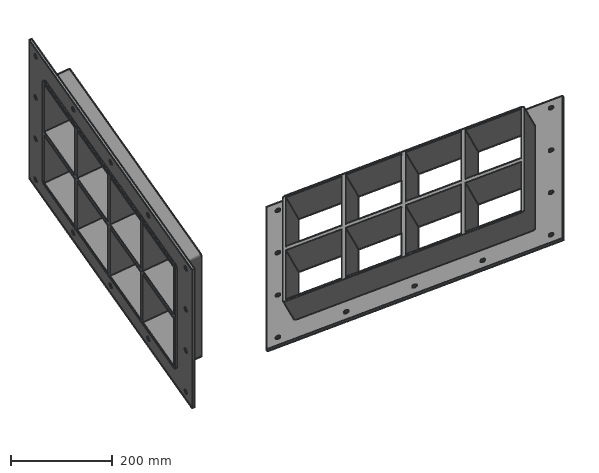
import cadquery as cq

flange_width = 644.0
flange_height = 463.0
flange_thickness = 6.0

lip_depth = 4.0
sleeve_depth = 50.0
corner_radius = 7.0
side_wall = 7.0
end_wall = 6.5

columns = 4
rows = 2
window_width = 121.0
window_height = 159.0
upright_bar = 9.0
cross_bar = 13.0
column_pitch = window_width + upright_bar
row_pitch = window_height + cross_bar

frame_width = columns * column_pitch - upright_bar + 2 * side_wall
frame_height = rows * row_pitch - cross_bar + 2 * end_wall
frame_depth = lip_depth + flange_thickness + sleeve_depth

hole_diameter = 10.0
hole_edge_distance = 25.0
holes_across = 5
holes_up = 4
hole_span_x = flange_width - 2 * hole_edge_distance
hole_span_z = flange_height - 2 * hole_edge_distance


def plane_at(y):
    """XZ workplane at depth y, with its normal pointing toward -Y."""
    return cq.Workplane("XZ", origin=(0, y, 0))


def border_points():
    """Hole centres on the perimeter of an evenly spaced grid."""
    points = []
    for i in range(holes_across):
        for j in range(holes_up):
            if i in (0, holes_across - 1) or j in (0, holes_up - 1):
                x = hole_span_x * (i / (holes_across - 1) - 0.5)
                z = hole_span_z * (j / (holes_up - 1) - 0.5)
                points.append((x, z))
    return points


def make_flange():
    """Plate with its front face at y = 0 and holes around its border."""
    plate = plane_at(flange_thickness).rect(flange_width, flange_height).extrude(flange_thickness)
    holes = (
        plane_at(flange_thickness)
        .pushPoints(border_points())
        .circle(hole_diameter / 2)
        .extrude(flange_thickness)
    )
    return plate.cut(holes)


frame_back = flange_thickness + sleeve_depth

frame = (
    plane_at(frame_back)
    .rect(frame_width, frame_height)
    .extrude(frame_depth)
    .edges("|Y")
    .fillet(corner_radius)
)

windows = (
    plane_at(frame_back)
    .rarray(column_pitch, row_pitch, columns, rows)
    .rect(window_width, window_height)
    .extrude(frame_depth)
)

result = make_flange().union(frame).cut(windows)